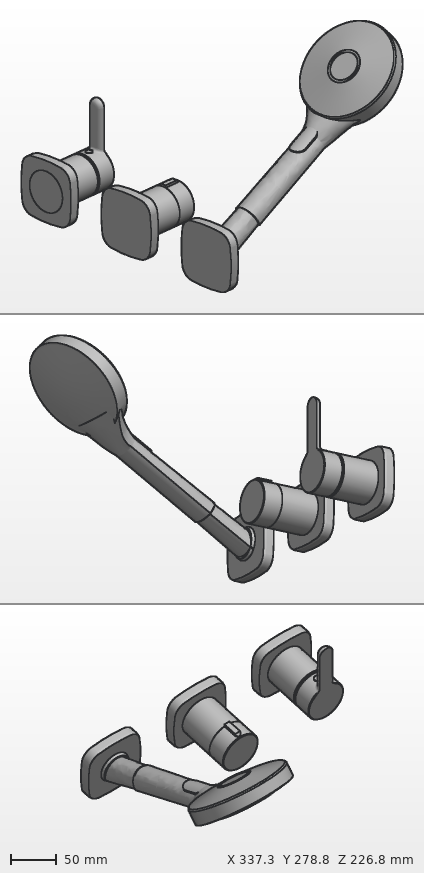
import cadquery as cq
import math


spacing = 120.0
mixer_x = 0.0
diverter_x = spacing
shower_x = 2 * spacing

plate_size = 75.0
plate_side_radius = 160.0
plate_corner_radius = 16.4
plate_thickness = 12.5
plate_rim_depth = 3.0
plate_rim_taper = 15.0

sleeve_radius = 24.7
sleeve_end = 57.0
knob_start = 59.2
knob_end = 83.0
knob_chamfer = 0.8
groove_depth = 1.0

lever_width = 18.4
lever_thickness = 7.4
lever_top = 85.0
lever_edge_radius = 6.0
lever_root_radius = 3.6
dot_dia = 8.5
dot_y = 68.3
dot_height = 0.7

marker_width = 7.0
marker_height = 2.8
marker_tip = 81.0
marker_slope_start = 77.5

grip_tilt = 28.6
grip_start = (shower_x, 66.1, 23.8)
grip_length = 118.0
grip_half_width = 16.5
grip_rise = 16.5
grip_drop = 10.3
grip_end_rise = 14.0
grip_end_drop = 10.0
section_edge_angle = 17.0

face_tilt = 43.6
back_tilt = 45.9
face_centre = (shower_x, 224.05, 149.12)
head_radius = 59.77
head_thickness = 19.0
shoulder_drop = 2.0
shoulder_width = 1.5
face_radius = 57.0
face_rise = 7.2
spray_ring_outer = 20.0
spray_ring_inner = 17.0
spray_ring_depth = 0.5
back_dome_radius = 57.0
back_dome_depth = 7.8

neck_sections = [
    (181.3, 87.2, 35.0, 20.0, 17.0, 7.5),
    (192.2, 97.8, 40.0, 29.0, 13.5, 10.0),
    (206.4, 111.5, 44.0, 45.0, 10.5, 11.0),
]

button_width = 20.5
button_start = 89.0
button_end = 128.0

holder_half_width = 14.8
holder_rise = 15.9
holder_drop = 9.2
holder_root_rise = 18.0
foot_base_radius = 19.0
foot_top_radius = 17.5
foot_height = 3.7

trim_size = 240.0


def wall_plane(x, y):
    """Sketch plane parallel to the plates, with its normal along +Y and its local y along Z."""
    return cq.Workplane(cq.Plane(origin=(x, y, 0), xDir=(-1, 0, 0), normal=(0, 1, 0)))


def disc(x, radius, start, end):
    return wall_plane(x, start).circle(radius).extrude(end - start)


def plate_outline(work):
    """Square with bulged sides; the corner arcs run tangent into the side arcs."""
    half = plate_size / 2
    side_centre = half - plate_side_radius
    reach = plate_side_radius - plate_corner_radius
    corner = (side_centre + math.sqrt(2 * reach**2 - side_centre**2)) / 2
    lean = math.atan2(corner, corner - side_centre)
    near = plate_side_radius * math.sin(lean)
    far = side_centre + plate_side_radius * math.cos(lean)
    diagonal = corner + plate_corner_radius / math.sqrt(2)
    return (
        work.moveTo(-near, far)
        .threePointArc((0, half), (near, far))
        .threePointArc((diagonal, diagonal), (far, near))
        .threePointArc((half, 0), (far, -near))
        .threePointArc((diagonal, -diagonal), (near, -far))
        .threePointArc((0, -half), (-near, -far))
        .threePointArc((-diagonal, -diagonal), (-far, -near))
        .threePointArc((-half, 0), (-far, near))
        .threePointArc((-diagonal, diagonal), (-near, far))
        .close()
    )


def make_plate(x):
    straight = plate_thickness - plate_rim_depth
    base = plate_outline(wall_plane(x, 0)).extrude(straight)
    rim = plate_outline(wall_plane(x, straight)).extrude(plate_rim_depth, taper=plate_rim_taper)
    return base.union(rim)


def make_lever():
    """Upright bar with a round top, flat on its outer face and rounded along its wall-side edge."""
    round_radius = lever_width / 2
    shoulder = lever_top - round_radius
    bar = (
        wall_plane(mixer_x, knob_end - lever_thickness)
        .moveTo(-round_radius, 0)
        .lineTo(-round_radius, shoulder)
        .threePointArc((0, lever_top), (round_radius, shoulder))
        .lineTo(round_radius, 0)
        .close()
        .extrude(lever_thickness)
    )
    return bar.faces("<Y").edges("not <Z").fillet(lever_edge_radius)


def make_mixer_handle():
    radius = sleeve_radius
    plain = disc(mixer_x, radius, knob_start, knob_end)
    handle = plain.union(make_lever())
    root_zone = cq.selectors.BoxSelector(
        (mixer_x - lever_width, knob_end - 2 * lever_thickness, radius - lever_thickness),
        (mixer_x + lever_width, knob_end - knob_chamfer, radius + lever_root_radius),
    )
    handle = handle.edges(root_zone).fillet(lever_root_radius)
    root_width = lever_width + 2 * lever_root_radius
    root_block = wall_plane(mixer_x, knob_start).rect(root_width, 2 * radius).extrude(radius)
    root_block = root_block.translate((0, 0, radius))
    chamfer_waste = plain.cut(plain.faces(">Y").edges().chamfer(knob_chamfer)).cut(root_block)
    handle = handle.cut(chamfer_waste)
    dot = cq.Workplane("XY", origin=(mixer_x, dot_y, 0)).circle(dot_dia / 2).extrude(radius + dot_height)
    neck = disc(mixer_x, radius - groove_depth, sleeve_end, knob_start)
    return handle.union(dot).union(neck)


def make_diverter_knob():
    radius = sleeve_radius
    knob = disc(diverter_x, radius, knob_start, knob_end).faces(">Y").edges().chamfer(knob_chamfer)
    half = marker_width / 2
    marker = (
        cq.Workplane("XY", origin=(diverter_x, knob_start, 0))
        .moveTo(-half, 0)
        .lineTo(half, 0)
        .lineTo(half, marker_tip - knob_start - half)
        .threePointArc((0, marker_tip - knob_start), (-half, marker_tip - knob_start - half))
        .close()
        .extrude(radius + marker_height)
    )
    top = radius + marker_height
    profile = (
        cq.Workplane("YZ", origin=(diverter_x - half, 0, 0))
        .moveTo(knob_start, 0)
        .lineTo(knob_start, top)
        .lineTo(marker_slope_start, top)
        .lineTo(marker_tip, radius)
        .lineTo(marker_tip, 0)
        .close()
        .extrude(marker_width)
    )
    return knob.union(marker.intersect(profile))


def grip_point(distance):
    tilt = math.radians(grip_tilt)
    x, y, z = grip_start
    return (x, y + distance * math.cos(tilt), z + distance * math.sin(tilt))


def grip_section(centre, tilt, half_width, rise, drop):
    """Closed outline across the grip: an elliptical top that meets a shallow bottom arc at two edges."""
    lean = math.radians(tilt)
    edge = math.radians(section_edge_angle)
    frame = cq.Plane(origin=centre, xDir=(-1, 0, 0), normal=(0, math.cos(lean), math.sin(lean)))

    def at(angle):
        return frame.toWorldCoords((half_width * math.cos(angle), rise * math.sin(angle)))

    top = cq.Edge.makeEllipse(
        half_width, rise, frame.origin, frame.zDir, frame.xDir,
        -section_edge_angle, 180 + section_edge_angle,
    )
    bottom = cq.Edge.makeThreePointArc(
        at(math.pi + edge), frame.toWorldCoords((0, -drop)), at(-edge)
    )
    return cq.Wire.assembleEdges([top, bottom])


def make_grip():
    start = grip_section(grip_start, grip_tilt, grip_half_width, grip_rise, grip_drop)
    end = grip_section(grip_point(grip_length), grip_tilt, grip_half_width, grip_end_rise, grip_end_drop)
    grip = cq.Solid.makeLoft([start, end], True)
    flare = [
        grip_section((shower_x, y, z), tilt, half_width, rise, drop)
        for y, z, tilt, half_width, rise, drop in neck_sections
    ]
    neck = cq.Solid.makeLoft([end, *flare])
    return cq.Workplane(grip).union(cq.Workplane(neck))


def make_button():
    """Stadium pad whose top is a cylinder about the grip axis, so it rises as the grip tapers."""
    lean = math.radians(grip_tilt)
    middle = (button_start + button_end) / 2
    upward = (0, -math.sin(lean), math.cos(lean))
    along = (0, math.cos(lean), math.sin(lean))
    pad = (
        cq.Workplane(cq.Plane(origin=grip_point(middle), xDir=along, normal=upward))
        .slot2D(button_end - button_start, button_width)
        .extrude(2 * grip_rise)
    )
    limit = (
        cq.Workplane(cq.Plane(origin=grip_point(button_start), xDir=(1, 0, 0), normal=along))
        .circle(grip_rise)
        .extrude(button_end - button_start)
    )
    return pad.intersect(limit)


def head_plane(origin, tilt):
    lean = math.radians(tilt)
    return cq.Plane(origin=origin, xDir=(1, 0, 0), normal=(0, -math.sin(lean), math.cos(lean)))


def make_head():
    face_plane = head_plane(face_centre, face_tilt)
    back_plane = head_plane(face_plane.toWorldCoords((0, 0, -head_thickness)), back_tilt)
    ring_floor = face_rise - spray_ring_depth
    front = (
        cq.Workplane("XZ")
        .moveTo(0, -2 * head_thickness)
        .lineTo(head_radius, -2 * head_thickness)
        .lineTo(head_radius, -shoulder_drop)
        .lineTo(head_radius - shoulder_width, 0)
        .lineTo(face_radius, 0)
        .lineTo(spray_ring_outer, face_rise)
        .lineTo(spray_ring_outer, ring_floor)
        .lineTo(spray_ring_inner, ring_floor)
        .lineTo(spray_ring_inner, face_rise)
        .lineTo(0, face_rise)
        .close()
        .revolve(360, (0, 0), (0, 1))
    )
    front = cq.Workplane(front.val().moved(cq.Location(face_plane)))
    behind = cq.Workplane(back_plane).rect(trim_size, trim_size).extrude(-trim_size)
    sphere_radius = (back_dome_radius**2 + back_dome_depth**2) / (2 * back_dome_depth)
    sphere_centre = sphere_radius - back_dome_depth
    mid_angle = math.asin(back_dome_radius / sphere_radius) / 2
    mid_point = (
        sphere_radius * math.sin(mid_angle),
        sphere_centre - sphere_radius * math.cos(mid_angle),
    )
    dome = (
        cq.Workplane("XZ")
        .moveTo(0, 0)
        .lineTo(back_dome_radius, 0)
        .threePointArc(mid_point, (0, -back_dome_depth))
        .close()
        .revolve(360, (0, 0), (0, 1))
    )
    dome = cq.Workplane(dome.val().moved(cq.Location(back_plane)))
    return front.cut(behind).union(dome)


def make_holder():
    tilt = math.radians(grip_tilt)
    wall_run = (grip_start[1] - plate_thickness) / math.cos(tilt)
    overrun = holder_root_rise
    root_centre = grip_point(-wall_run - overrun)
    end = grip_section(grip_start, grip_tilt, holder_half_width, holder_rise, holder_drop)
    root = grip_section(root_centre, grip_tilt, grip_half_width, holder_root_rise, grip_drop)
    stem = cq.Workplane(cq.Solid.makeLoft([end, root], True))
    wall_side = wall_plane(shower_x, plate_thickness).rect(trim_size, trim_size).extrude(-trim_size)
    foot = (
        wall_plane(shower_x, plate_thickness)
        .circle(foot_base_radius)
        .workplane(offset=foot_height)
        .circle(foot_top_radius)
        .loft()
    )
    return stem.cut(wall_side).union(foot)


mixer_plate, diverter_plate, shower_plate = [make_plate(x) for x in (mixer_x, diverter_x, shower_x)]
mixer_sleeve = disc(mixer_x, sleeve_radius, 0, sleeve_end)
mixer_plate = mixer_plate.cut(mixer_sleeve)
mixer_handle = make_mixer_handle()
diverter_sleeve = disc(diverter_x, sleeve_radius, plate_thickness, knob_start)
diverter_knob = make_diverter_knob()
holder = make_holder()
handset = make_grip().union(make_button()).union(make_head())

result = cq.Compound.makeCompound([
    mixer_plate.val(), mixer_sleeve.val(), mixer_handle.val(),
    diverter_plate.val(), diverter_sleeve.val(), diverter_knob.val(),
    shower_plate.val(), holder.val(), handset.val(),
])